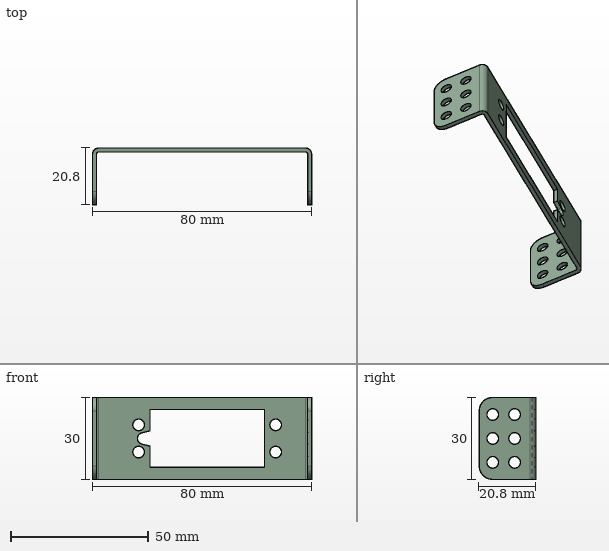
import cadquery as cq
import math

length = 80.0
depth = 20.8
height = 30.0
thickness = 1.5
inner_bend_radius = 0.7
outer_bend_radius = inner_bend_radius + thickness
flange_corner_radius = 5.0

hole_diameter = 4.2

window_center_x = 1.8
window_length = 41.7
window_height = 21.0
mount_spacing_x = 50.0
mount_spacing_z = 9.9

notch_radius = hole_diameter / 2
notch_depth = 4.6
notch_mouth_height = 5.5

flange_columns = 2
flange_rows = 3
flange_spacing_y = 8.0
flange_spacing_z = 8.7
flange_hole_edge_distance = 5.0

front_y = -depth / 2
back_y = depth / 2


def bracket_body():
    """U-shaped sheet with rounded bends and rounded free flange corners."""
    outer = cq.Workplane("XY").box(length, depth, height)
    outer = outer.edges("|Z and >Y").fillet(outer_bend_radius)
    cavity = cq.Workplane("XY").box(length - 2 * thickness, depth, height)
    cavity = cavity.translate((0, -thickness, 0))
    cavity = cavity.edges("|Z and >Y").fillet(inner_bend_radius)
    return outer.cut(cavity).edges("|X and <Y").fillet(flange_corner_radius)


def web_sketch():
    """XZ workplane at the back face, extruding toward -Y, centred on the window."""
    return cq.Workplane("XZ", origin=(window_center_x, back_y, 0))


def window():
    return web_sketch().rect(window_length, window_height).extrude(thickness)


def mounting_holes():
    holes = web_sketch().rect(mount_spacing_x, mount_spacing_z, forConstruction=True).vertices()
    return holes.circle(hole_diameter / 2).extrude(thickness)


def cable_notch():
    """Round-ended notch whose straight sides run tangent from the arc to the mouth."""
    mouth_x = -window_length / 2
    tip_x = mouth_x - notch_depth
    arc_x = tip_x + notch_radius
    half_mouth = notch_mouth_height / 2

    run = mouth_x - arc_x
    mouth_angle = math.atan2(half_mouth, run)
    tangent_angle = mouth_angle + math.acos(notch_radius / math.hypot(run, half_mouth))
    tangent_x = arc_x + notch_radius * math.cos(tangent_angle)
    tangent_z = notch_radius * math.sin(tangent_angle)

    return (
        web_sketch()
        .moveTo(mouth_x, half_mouth)
        .lineTo(tangent_x, tangent_z)
        .threePointArc((tip_x, 0), (tangent_x, -tangent_z))
        .lineTo(mouth_x, -half_mouth)
        .close()
        .extrude(thickness)
    )


def flange_holes():
    """Hole grid passing through both flanges."""
    grid_center_y = front_y + flange_hole_edge_distance + (flange_columns - 1) * flange_spacing_y / 2
    return (
        cq.Workplane("YZ")
        .center(grid_center_y, 0)
        .rarray(flange_spacing_y, flange_spacing_z, flange_columns, flange_rows)
        .circle(hole_diameter / 2)
        .extrude(length / 2, both=True)
    )


result = (
    bracket_body()
    .cut(window())
    .cut(mounting_holes())
    .cut(cable_notch())
    .cut(flange_holes())
)